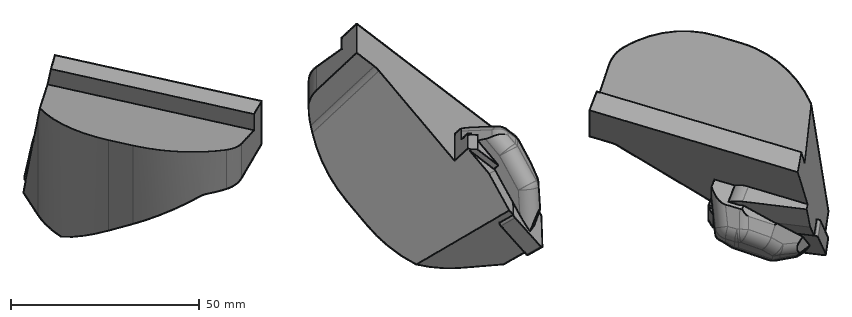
import cadquery as cq
import math

LENGTH = 66.5
HEIGHT = 42.8
TRIM_SIZE = 199.5

BACK_Y = 31.5
BELLY_RADIUS = 31.25
BELLY_LEFT_X = 34.45
BELLY_RIGHT_X = 41.4
LEFT_ARC_ANGLE = 50.2
RIGHT_ARC_ANGLE = 47.0
TOP_SLOPE = 15.2
LEDGE_TOP = 41.35
LEDGE_FRONT_Y = 25.5
FLAT_UNDERSIDE_Z = 26.85
UNDERSIDE_ANGLE = 30.5
UNDERSIDE_BEND_X = 59.4
UNDERSIDE_BEND_RADIUS = 3.3
FOOT_X = 14.6
FOOT_Z = 0.65
FOOT_FALL = 0.025
FOOT_RISE = 0.11
FLANK_TOP_X = 8.0
FLANK_RISE = 0.172
FLANK_RUN = -0.172

BLOCK_TOP = 25.2
BLOCK_BACK_Y = 36.8
BLOCK_BEND_X = 21.95
BLOCK_BEND_RADIUS = 5.2
BLOCK_BEND_ANGLE = 45.0
BLOCK_END_X = 31.4
BLOCK_CORNER = (4.85, 33.05, BLOCK_TOP)
BLOCK_LEAN = 0.21

INSERT_EDGE = 12.9
INSERT_ANGLE = 80.0
INSERT_THICKNESS = 4.8
INSERT_CORNER_RADIUS = 0.8
TIP = (-0.1, 31.6, 0.0)
RAKE_RUN = 0.19
RAKE_RISE = 0.107
RAKE_NORMAL = (-RAKE_RUN, 1.0, -RAKE_RISE)

BOSS_BACK_Y = 44.4
BOSS_TOP = 23.6
BOSS_FILLET = 4.0
BOSS_EDGE_FRONT_Y = 37.25
BOSS_EDGE_BACK_Y = 39.9
SHELF_BACK_Y = 38.45
SHELF_BEVEL_X = 29.4
SHELF_BOTTOM = 10.0
SHELF_TOP = 17.3
BOSS_FRONT_Y = 29.9


def outside_plane(point, outward):
    """A large block filling the space on the outward side of a plane."""
    plane = cq.Plane(origin=point, normal=outward)
    return cq.Workplane(plane).rect(TRIM_SIZE, TRIM_SIZE).extrude(TRIM_SIZE)


def normal_through(a, b, c):
    """Normal of the plane through three points."""
    start = cq.Vector(*a)
    return (cq.Vector(*b) - start).cross(cq.Vector(*c) - start).toTuple()


def box_between(low, high):
    size = [top - bottom for bottom, top in zip(low, high)]
    return cq.Workplane("XY").box(*size, centered=False).translate(low)


def trim(body, planes):
    for point, outward in planes:
        body = body.cut(outside_plane(point, outward))
    return body


def belly_offset(angle):
    """Offset from the start of a belly arc after it has turned by an angle."""
    turn = math.radians(angle)
    return BELLY_RADIUS * math.sin(turn), BELLY_RADIUS * (1 - math.cos(turn))


FLANK = ((FLANK_TOP_X, BACK_Y, LEDGE_TOP), (-1.0, FLANK_RUN, FLANK_RISE))
FOOT = ((FOOT_X, BACK_Y, FOOT_Z), (-FOOT_FALL, -FOOT_RISE, -1.0))
RAKE = (TIP, RAKE_NORMAL)


def make_main_body():
    """Bowed prism with a sloping top and a square ledge along its back."""
    left_dx, left_y = belly_offset(LEFT_ARC_ANGLE)
    left_mid_dx, left_mid_y = belly_offset(LEFT_ARC_ANGLE / 2)
    right_dx, right_y = belly_offset(RIGHT_ARC_ANGLE)
    right_mid_dx, right_mid_y = belly_offset(RIGHT_ARC_ANGLE / 2)
    left_x = BELLY_LEFT_X - left_dx
    right_x = BELLY_RIGHT_X + right_dx
    end_turn = math.radians(RIGHT_ARC_ANGLE)
    end_radius = (LENGTH - right_x) / (1 - math.sin(end_turn))
    end_y = right_y + end_radius * math.cos(end_turn)
    tangent_run = (BACK_Y - left_y) / math.tan(math.radians(LEFT_ARC_ANGLE))
    body = (
        cq.Workplane("XY")
        .moveTo(left_x - tangent_run, BACK_Y)
        .lineTo(left_x, left_y)
        .threePointArc((BELLY_LEFT_X - left_mid_dx, left_mid_y), (BELLY_LEFT_X, 0))
        .lineTo(BELLY_RIGHT_X, 0)
        .threePointArc((BELLY_RIGHT_X + right_mid_dx, right_mid_y), (right_x, right_y))
        .tangentArcPoint((LENGTH, end_y), relative=False)
        .lineTo(LENGTH, BACK_Y)
        .close()
        .extrude(HEIGHT)
    )
    ledge_foot = HEIGHT - LEDGE_FRONT_Y * math.tan(math.radians(TOP_SLOPE))
    above_top = (
        cq.Workplane("YZ")
        .polyline([
            (0, HEIGHT),
            (LEDGE_FRONT_Y, ledge_foot),
            (LEDGE_FRONT_Y, LEDGE_TOP),
            (BACK_Y, LEDGE_TOP),
            (BACK_Y, 2 * HEIGHT),
            (0, 2 * HEIGHT),
        ])
        .close()
        .extrude(LENGTH)
    )
    return body.cut(above_top)


def make_rear_block():
    """Block behind the flat back, with its top rounding down to the right."""
    turn = math.radians(BLOCK_BEND_ANGLE)
    bend_end_x = BLOCK_BEND_X + BLOCK_BEND_RADIUS * math.sin(turn)
    bend_end_z = BLOCK_TOP - BLOCK_BEND_RADIUS * (1 - math.cos(turn))
    end_z = bend_end_z - (BLOCK_END_X - bend_end_x) * math.tan(turn)
    block = (
        cq.Workplane("XZ", origin=(0, BLOCK_BACK_Y, 0))
        .moveTo(0, 0)
        .lineTo(0, BLOCK_TOP)
        .lineTo(BLOCK_BEND_X, BLOCK_TOP)
        .tangentArcPoint((bend_end_x, bend_end_z), relative=False)
        .lineTo(BLOCK_END_X, end_z)
        .lineTo(BLOCK_END_X, 0)
        .close()
        .extrude(BLOCK_BACK_Y - BACK_Y)
    )
    upper_back = (BLOCK_CORNER, (-RAKE_RUN, 1.0, BLOCK_LEAN))
    return trim(block, [RAKE, upper_back])


class RearEdges(cq.Selector):
    """Edges around the rear faces of the boss."""

    def filter(self, objects):
        boxes = [(edge, edge.BoundingBox()) for edge in objects]
        return [
            edge for edge, box in boxes
            if box.ymin > BOSS_EDGE_FRONT_Y and box.ymax > BOSS_EDGE_BACK_Y
        ]


def make_boss():
    """Faceted boss on the back, with its rear edges rounded."""
    roof_low = (12.7, 36.6, 18.15)
    roof_high = (20.55, 38.85, 23.0)
    roof_rear = (12.7, 40.1, 16.9)
    shoulder = (21.6, 36.9, 23.7)
    left_top = (6.2, 36.05, 10.7)
    left_rear = (5.5, 36.9, 7.3)
    back_bend = (10.65, 41.75, 3.45)
    right_side = (29.05, 39.1, 0.0)
    underside_run = math.tan(math.radians(UNDERSIDE_ANGLE))
    boss = box_between((0, BOSS_FRONT_Y, 0), (BLOCK_END_X, BOSS_BACK_Y, BOSS_TOP))
    boss = trim(boss, [
        (roof_low, normal_through(roof_low, roof_high, roof_rear)),
        (roof_low, normal_through(roof_low, roof_rear, left_top)),
        (roof_low, normal_through(roof_low, shoulder, roof_high)),
        (roof_high, (0.0, 0.58, 1.0)),
        (left_rear, (-1.0, 0.25, 0.27)),
        (left_rear, (-1.0, 0.53, -0.35)),
        (left_rear, (-1.0, 1.05, 0.0)),
        (back_bend, (-0.26, 1.0, 0.0)),
        (back_bend, (underside_run, 0.0, -1.0)),
        (right_side, (1.0, 0.48, 0.0)),
    ])
    return boss.edges(RearEdges()).fillet(BOSS_FILLET)


def make_shelf():
    """Low bevelled shelf filling the corner between the boss and the block end."""
    return (
        cq.Workplane("XY", origin=(0, 0, SHELF_BOTTOM))
        .polyline([
            (BLOCK_BEND_X, BACK_Y),
            (BLOCK_BEND_X, SHELF_BACK_Y),
            (SHELF_BEVEL_X, SHELF_BACK_Y),
            (BLOCK_END_X, BLOCK_BACK_Y),
            (BLOCK_END_X, BACK_Y),
        ])
        .close()
        .extrude(SHELF_TOP - SHELF_BOTTOM)
    )


def make_underside_cut():
    """Region below the flat underside and the long slanted underside."""
    drop = UNDERSIDE_BEND_X * math.tan(math.radians(UNDERSIDE_ANGLE))
    region = (
        cq.Workplane("XZ", origin=(0, BOSS_BACK_Y, 0))
        .polyline([
            (0, FLAT_UNDERSIDE_Z - drop),
            (UNDERSIDE_BEND_X, FLAT_UNDERSIDE_Z),
            (LENGTH, FLAT_UNDERSIDE_Z),
            (LENGTH, -HEIGHT),
            (0, -HEIGHT),
        ])
        .close()
        .extrude(BOSS_BACK_Y)
    )
    bend = cq.selectors.NearestToPointSelector((UNDERSIDE_BEND_X, BOSS_BACK_Y / 2, FLAT_UNDERSIDE_Z))
    return region.edges(bend).fillet(UNDERSIDE_BEND_RADIUS)


def make_holder(insert):
    holder = make_main_body().union(make_rear_block()).union(make_boss()).union(make_shelf())
    holder = trim(holder, [FLANK, FOOT])
    return holder.cut(make_underside_cut()).cut(insert)


def make_insert():
    """Rhombic plate lying flush with the rake face."""
    front_normal = tuple(-part for part in RAKE_NORMAL)
    plane = cq.Plane(origin=TIP, xDir=(1.0, RAKE_RUN, 0.0), normal=front_normal)
    lean_x = INSERT_EDGE * math.cos(math.radians(INSERT_ANGLE))
    lean_y = INSERT_EDGE * math.sin(math.radians(INSERT_ANGLE))
    return (
        cq.Workplane(plane)
        .polyline([(0, 0), (INSERT_EDGE, 0), (INSERT_EDGE + lean_x, lean_y), (lean_x, lean_y)])
        .close()
        .extrude(INSERT_THICKNESS)
        .edges(cq.selectors.ParallelDirSelector(plane.zDir))
        .fillet(INSERT_CORNER_RADIUS)
    )


insert = make_insert()
holder = make_holder(insert)
result = cq.Compound.makeCompound([holder.val(), insert.val()])